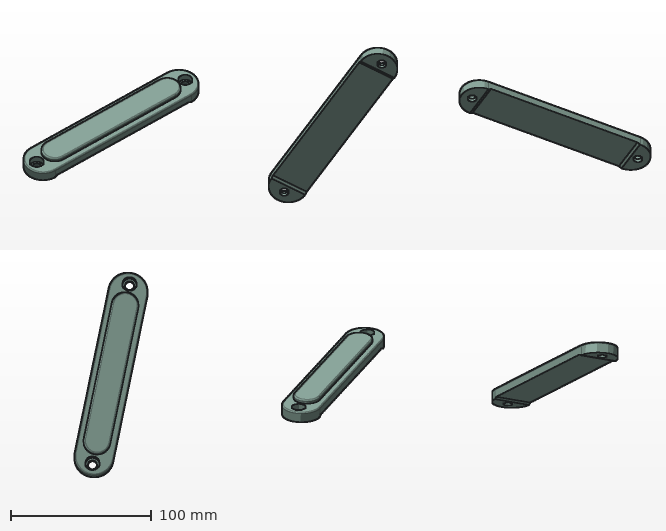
import cadquery as cq

plate_length = 150.0
plate_width = 28.0
plate_height = 8.0
plate_edge_radius = 0.9

pad_length = 120.0
pad_width = 19.2
pad_height = 3.0
pad_edge_radius = 1.2

hole_diameter = 6.5
counterbore_diameter = 10.0
counterbore_depth = 5.0
hole_end_distance = 8.4
hole_y = plate_length / 2 - hole_end_distance

relief_depth = 1.2
relief_slope_run = 2.1
foot_length = 14.1
relief_mouth_half = plate_length / 2 - foot_length
relief_roof_half = relief_mouth_half - relief_slope_run


def rounded_bar(length, width, height, edge_radius, base_z):
    """Round-ended bar along Y with a filleted top rim."""
    return (
        cq.Workplane("XY", origin=(0, 0, base_z))
        .slot2D(length, width, 90)
        .extrude(height)
        .faces(">Z")
        .edges()
        .fillet(edge_radius)
    )


def underside_relief():
    """Trapezoidal channel through the full width, sloped at both ends."""
    return (
        cq.Workplane("YZ")
        .polyline([
            (-relief_mouth_half, 0),
            (-relief_roof_half, relief_depth),
            (relief_roof_half, relief_depth),
            (relief_mouth_half, 0),
        ])
        .close()
        .extrude(plate_width / 2, both=True)
    )


def drill_screw_holes(body):
    """Counterbored through holes, sunk from the top of the plate."""
    return (
        body.copyWorkplane(cq.Workplane("XY", origin=(0, 0, plate_height)))
        .pushPoints([(0, -hole_y), (0, hole_y)])
        .cboreHole(hole_diameter, counterbore_diameter, counterbore_depth, plate_height)
    )


plate = rounded_bar(plate_length, plate_width, plate_height, plate_edge_radius, 0)
plate = drill_screw_holes(plate.cut(underside_relief()))
pad = rounded_bar(pad_length, pad_width, pad_height, pad_edge_radius, plate_height)
result = plate.union(pad)